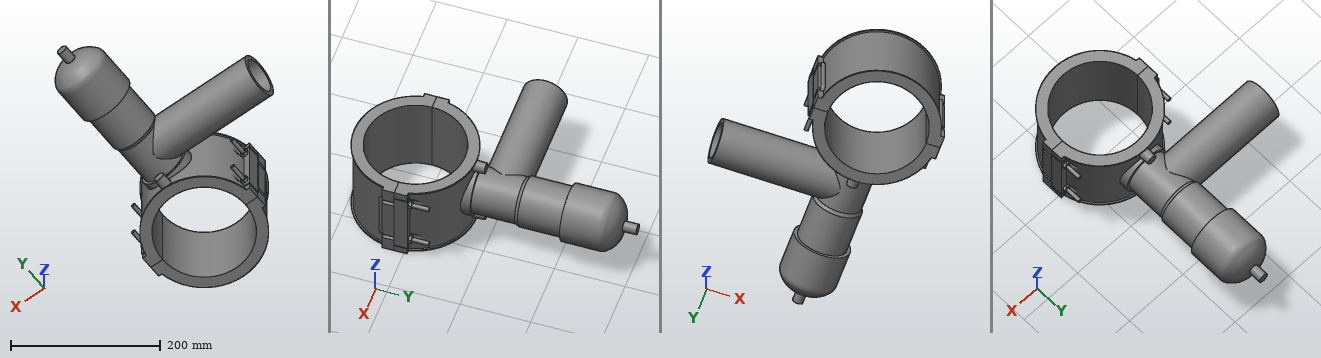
import cadquery as cq
import math

bore_radius = 70.0
ring_radius = 84.0
lip_radius = 86.5
clamp_height = 118.0
lip_height = 2.5

ear_reach = 90.0
upper_ear_depth = 18.0
lower_ear_depth = 17.2
plate_thickness = 1.2
plate_height = 95.5

bolt_diameter = 6.0
bolt_x = 83.7
bolt_z = 35.0
bolt_tip_y = 47.3
bend_radius = 3.2
slot_width = 6.5
nut_across_flats = 10.0
nut_height = 4.0

relief_diameter = 15.0
relief_y = 12.0
relief_rounding = 5.2

collar_diameter = 73.3
collar_y = 89.5
neck_diameter = 65.5
neck_y = 151.0
sleeve_diameter = 71.0
sleeve_taper_y = 156.0
sleeve_y = 217.0
cap_diameter = 81.5
cap_y = 270.5
knuckle_radius = 39.0
knuckle_y = 277.5
dome_mid_radius = 25.5
dome_mid_y = 290.8
dome_y = 294.8
stem_diameter = 15.0
tower_top_y = 314.0

branch_diameter = 63.0
branch_bore = 50.5
branch_y = 121.5
branch_end_x = -186.0

peg_tip_diameter = 15.0
peg_base_diameter = 17.2
peg_z = 47.0
peg_tip_y = 99.7

half_height = clamp_height / 2
bolt_radius = bolt_diameter / 2
plate_reach = ear_reach + plate_thickness
plate_top_y = upper_ear_depth + plate_thickness
wall_middle = (bore_radius + ring_radius) / 2
nut_across_corners = nut_across_flats / math.cos(math.pi / 6)
sides = (-1, 1)


def y_cylinder(diameter, x, z, y_start, y_end):
    """Cylinder along Y between two Y positions."""
    start = cq.Workplane("XZ", origin=(x, y_start, z))
    return start.circle(diameter / 2).extrude(y_start - y_end)


def block(x_near, x_far, y_start, y_end, height, z=0):
    """Box from corner positions in X and Y, centred on z."""
    size = (abs(x_far - x_near), abs(y_end - y_start), height)
    centre = ((x_near + x_far) / 2, (y_start + y_end) / 2, z)
    return cq.Workplane("XY").box(*size).translate(centre)


def half_ring(y_side):
    """Half of the clamp ring with a lip along each rim, before boring."""
    ring = cq.Workplane("XY").circle(ring_radius).extrude(clamp_height)
    for z in (0, clamp_height - lip_height):
        lip = cq.Workplane("XY").workplane(offset=z).circle(lip_radius).extrude(lip_height)
        ring = ring.union(lip)
    ring = ring.translate((0, 0, -half_height))
    half_space = block(-2 * lip_radius, 2 * lip_radius, 0, y_side * 2 * lip_radius, 2 * clamp_height)
    return ring.intersect(half_space)


def bore():
    """Cylinder that opens the clamp for the main pipe."""
    return cq.Workplane("XY").circle(bore_radius).extrude(clamp_height).translate((0, 0, -half_height))


def u_bolt(side):
    """U-bolt on one side: two legs along Y, bent round to a bar along Z."""
    bar_y = -lower_ear_depth - bolt_radius
    bend_y = bar_y + bend_radius
    bend_z = bolt_z - bend_radius
    centreline = (
        cq.Workplane("YZ", origin=(side * bolt_x, 0, 0))
        .moveTo(bolt_tip_y, bolt_z)
        .lineTo(bend_y, bolt_z)
        .tangentArcPoint((bar_y, bend_z), relative=False)
        .lineTo(bar_y, -bend_z)
        .tangentArcPoint((bend_y, -bolt_z), relative=False)
        .lineTo(bolt_tip_y, -bolt_z)
    )
    leg_end = cq.Workplane("XZ", origin=(side * bolt_x, bolt_tip_y, bolt_z))
    return leg_end.circle(bolt_radius).sweep(centreline)


def tower():
    """Revolved collar, neck, sleeve, domed cap and stem."""
    profile = (
        cq.Workplane("XY")
        .moveTo(0, wall_middle)
        .lineTo(neck_diameter / 2, wall_middle)
        .lineTo(neck_diameter / 2, neck_y)
        .lineTo(sleeve_diameter / 2, sleeve_taper_y)
        .lineTo(sleeve_diameter / 2, sleeve_y)
        .lineTo(cap_diameter / 2, sleeve_y)
        .lineTo(cap_diameter / 2, cap_y)
        .tangentArcPoint((knuckle_radius, knuckle_y), relative=False)
        .threePointArc((dome_mid_radius, dome_mid_y), (stem_diameter / 2, dome_y))
        .lineTo(stem_diameter / 2, tower_top_y)
        .lineTo(0, tower_top_y)
        .close()
    )
    collar = y_cylinder(collar_diameter, 0, 0, 0, collar_y)
    return profile.revolve(360, (0, 0, 0), (0, 1, 0)).union(collar)


def branch_pipe(diameter):
    """Round bar along the branch, from the tower axis to the open end."""
    return cq.Workplane("YZ").center(branch_y, 0).circle(diameter / 2).extrude(branch_end_x)


def peg(z_side):
    """Tapered peg, wider where it meets the ring."""
    base = cq.Workplane("XZ", origin=(0, wall_middle, z_side * peg_z)).circle(peg_base_diameter / 2)
    return base.workplane(offset=wall_middle - peg_tip_y).circle(peg_tip_diameter / 2).loft()


def nut(side, z_side):
    """Hexagon nut on the plate, with corners pointing along Z."""
    seat = cq.Workplane("XZ", origin=(side * bolt_x, plate_top_y, z_side * bolt_z))
    return seat.transformed(rotate=(0, 0, 90)).polygon(6, nut_across_corners).extrude(-nut_height)


def relieved_ring():
    """Upper half ring with a rounded-edge relief beside each bolt; the ears later fill the bottoms."""
    ring = half_ring(1)
    for side in sides:
        for z_side in sides:
            ring = ring.cut(y_cylinder(relief_diameter, side * bolt_x, z_side * bolt_z, relief_y, ring_radius))
    return ring.edges("%BSPLINE").fillet(relief_rounding)


def upper_half(bolts):
    """Upper clamp half with tower, branch, pegs, plates and nuts."""
    body = relieved_ring()
    for side in sides:
        ear = block(side * wall_middle, side * ear_reach, 0, upper_ear_depth, clamp_height)
        plate = block(side * wall_middle, side * plate_reach, 0, plate_top_y, plate_height)
        body = body.union(ear).union(plate)
        for z_side in sides:
            body = body.union(nut(side, z_side))
    body = body.union(tower()).union(branch_pipe(branch_diameter))
    for z_side in sides:
        body = body.union(peg(z_side))
    body = body.cut(bore()).cut(branch_pipe(branch_bore))
    for bolt in bolts:
        body = body.cut(bolt)
    return body


def lower_half(bolts):
    """Lower clamp half with slotted ears and its two U-bolts."""
    body = half_ring(-1)
    for side in sides:
        body = body.union(block(side * wall_middle, side * ear_reach, 0, -lower_ear_depth, clamp_height))
        for z_side in sides:
            slot_z = z_side * bolt_z
            slot = block(side * bolt_x, side * ear_reach, 0, -lower_ear_depth, slot_width, slot_z)
            body = body.cut(slot)
    body = body.cut(bore())
    for bolt in bolts:
        body = body.union(bolt)
    return body


u_bolts = [u_bolt(side) for side in sides]
upper_clamp = upper_half(u_bolts)
lower_clamp = lower_half(u_bolts)

result = cq.Compound.makeCompound([upper_clamp.solids().val(), lower_clamp.solids().val()])